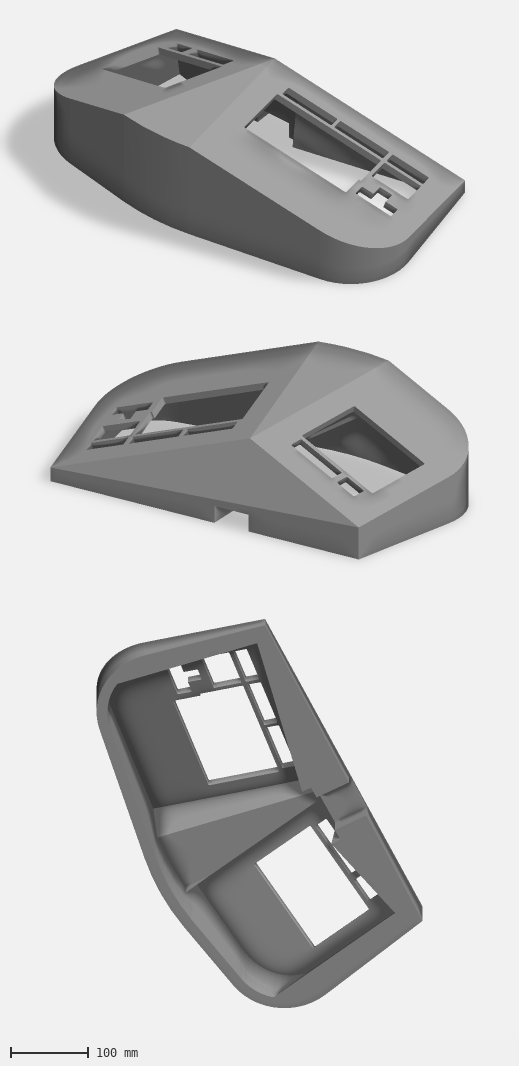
import cadquery as cq


APEX = cq.Vector(0, 0, 111.0)
LEFT_BACK = cq.Vector(-188.5, 34.5, 45.0)
RIGHT_BACK = cq.Vector(276.0, 45.0, 19.5)
SEAM_FRONT_Z = 142.5
LEFT_SEAM_FRONT = cq.Vector(-55.5, -242.0, SEAM_FRONT_Z)
RIGHT_SEAM_FRONT = cq.Vector(52.5, -243.0, SEAM_FRONT_Z)

NOSE_Y = -247.0
LEFT_CORNER = (-244.0, -208.0)
RIGHT_CORNER = (326.0, -197.0)
CORNER_RADIUS = 82.5
PRISM_HEIGHT = 2 * SEAM_FRONT_Z

PANEL_THICKNESS = 9.5
WALL = 14.0
BIG = 1074

RECESS_CENTER_X = 3.0
RECESS_HALF_WIDTH = 41.5
RECESS_CEILING = 75.0
RECESS_BACK_Y = -7.0

CABLE_HALF_WIDTH = 26.0
CABLE_HEIGHT = 23.5

WINDOW_RADIUS = 1.7
SLOT_ROW = (35.5, 53.5)
SCREEN_ROW = (59.0, 154.0)
LEFT_SLOTS = [(40.0, 116.0), (125.0, 157.5)]
LEFT_SCREEN = (35.5, 167.0)
RIGHT_SLOTS = [(40.5, 116.0), (120.5, 196.0), (201.5, 258.0)]
RIGHT_SCREEN = (35.5, 196.0)
SCREEN_STEP = 3.0
SCREEN_STEP_START = 117.0
SIDE_WINDOW = (201.5, 258.0)
SIDE_WINDOW_ROW = (59.0, 96.5)
TEE_BAR = (202.5, 258.0)
TEE_BAR_ROW = (125.5, 145.0)
TEE_STEM = (220.0, 239.0)
TEE_STEM_START = 107.0


def facet_plane(first, second):
    """Plane through the apex and two more points; local Z points up and out, local X follows first."""
    across = first - APEX
    along = second - APEX
    normal = across.cross(along)
    if normal.z < 0:
        normal = normal * -1
    if across.x < 0:
        across = across * -1
    return cq.Plane(origin=APEX, xDir=across, normal=normal)


LEFT_PANEL = facet_plane(LEFT_BACK, LEFT_SEAM_FRONT)
RIGHT_PANEL = facet_plane(RIGHT_BACK, RIGHT_SEAM_FRONT)
CENTER_FACET = facet_plane(RIGHT_SEAM_FRONT, LEFT_SEAM_FRONT)
BACK_FACET = facet_plane(RIGHT_BACK, LEFT_BACK)


def outline_prism():
    """Vertical prism over the plan outline, with the two front corners rounded."""
    prism = (
        cq.Workplane("XY")
        .moveTo(LEFT_BACK.x, LEFT_BACK.y)
        .lineTo(*LEFT_CORNER)
        .lineTo(LEFT_SEAM_FRONT.x, LEFT_SEAM_FRONT.y)
        .threePointArc((0, NOSE_Y), (RIGHT_SEAM_FRONT.x, RIGHT_SEAM_FRONT.y))
        .lineTo(*RIGHT_CORNER)
        .lineTo(RIGHT_BACK.x, RIGHT_BACK.y)
        .close()
        .extrude(PRISM_HEIGHT)
    )
    for corner in (LEFT_CORNER, RIGHT_CORNER):
        edge = cq.selectors.NearestToPointSelector((*corner, PRISM_HEIGHT / 2))
        prism = prism.edges("|Z").edges(edge).fillet(CORNER_RADIUS)
    return prism


def space_below(plane):
    """Block reaching down from a plane, used to trim away everything above it."""
    return cq.Workplane(plane).rect(BIG, BIG).extrude(-BIG)


def cavity(plane, side, back_corner, inner_prism):
    """Hollow under one panel, square to it; side is -1 for the left panel and +1 for the right."""
    back_edge_length = (back_corner - APEX).Length
    pocket = (
        cq.Workplane(plane)
        .workplane(offset=-PANEL_THICKNESS)
        .center(side * back_edge_length / 2, -WALL - BIG / 2)
        .rect(back_edge_length - 2 * WALL, BIG)
        .extrude(-BIG)
    )
    return inner_prism.intersect(pocket)


def window(plane, side, span, row):
    """Rectangular opening through a panel."""
    cutter = (
        cq.Workplane(plane)
        .center(side * sum(span) / 2, -sum(row) / 2)
        .rect(span[1] - span[0], row[1] - row[0])
        .extrude(PANEL_THICKNESS * 2, both=True)
    )
    return cutter.edges(cq.selectors.ParallelDirSelector(plane.zDir)).fillet(WINDOW_RADIUS)


def windows(plane, side, openings):
    """All openings of one panel as a single cutter."""
    cutter = cq.Workplane(plane)
    for span, row in openings:
        cutter = cutter.add(window(plane, side, span, row))
    return cutter.combine()


def left_windows():
    openings = [(LEFT_SCREEN, SCREEN_ROW)]
    openings += [(slot, SLOT_ROW) for slot in LEFT_SLOTS]
    return windows(LEFT_PANEL, -1, openings)


def right_windows():
    start, end = RIGHT_SCREEN
    openings = [
        (RIGHT_SCREEN, (SCREEN_ROW[0], SCREEN_STEP_START)),
        ((start, end - SCREEN_STEP), SCREEN_ROW),
        (SIDE_WINDOW, SIDE_WINDOW_ROW),
        (TEE_BAR, TEE_BAR_ROW),
        (TEE_STEM, (TEE_STEM_START, sum(TEE_BAR_ROW) / 2)),
    ]
    openings += [(slot, SLOT_ROW) for slot in RIGHT_SLOTS]
    return windows(RIGHT_PANEL, 1, openings)


def block(half_width, front_y, back_y, height):
    """Upright block standing on the base, centred on the recess from left to right."""
    return (
        cq.Workplane("XY")
        .center(RECESS_CENTER_X, (front_y + back_y) / 2)
        .rect(2 * half_width, back_y - front_y)
        .extrude(height)
    )


prism = outline_prism()
body = prism
for facet in (LEFT_PANEL, RIGHT_PANEL, CENTER_FACET, BACK_FACET):
    body = body.intersect(space_below(facet))

inner_outline = prism.faces("<Z").wires().toPending().offset2D(-WALL)
inner_prism = inner_outline.extrude(PRISM_HEIGHT, combine=False)
recess = block(RECESS_HALF_WIDTH, -BIG, RECESS_BACK_Y, RECESS_CEILING)
body = body.cut(cavity(LEFT_PANEL, -1, LEFT_BACK, inner_prism))
body = body.cut(cavity(RIGHT_PANEL, 1, RIGHT_BACK, inner_prism))
body = body.cut(inner_prism.intersect(recess))

body = body.cut(block(CABLE_HALF_WIDTH, RECESS_BACK_Y, BIG, CABLE_HEIGHT))

result = body.cut(left_windows()).cut(right_windows())